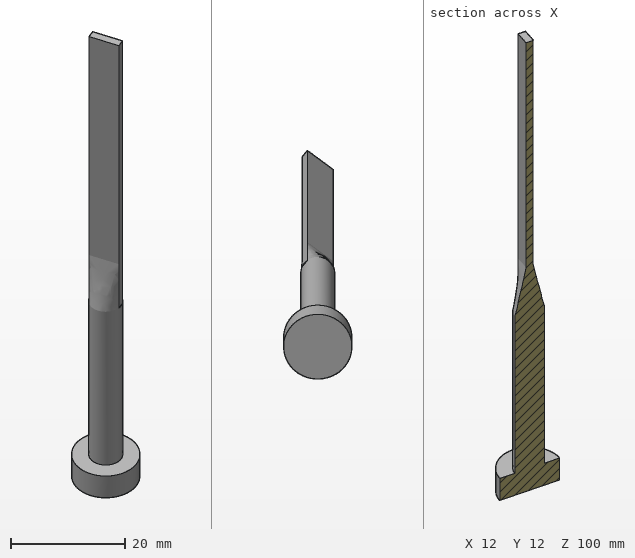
import cadquery as cq
import math

total_height = 100.0
head_height = 5.0
blade_length = 50.0
transition_length = 10.0

head_diameter = 12.0
shank_diameter = 6.0
blade_thickness = 1.5
blade_width = math.sqrt(shank_diameter**2 - blade_thickness**2)

blade_base = total_height - blade_length
shank_top = blade_base - transition_length

head = cq.Workplane("XY").circle(head_diameter / 2).extrude(head_height)
shank = (
    cq.Workplane("XY")
    .workplane(offset=head_height)
    .circle(shank_diameter / 2)
    .extrude(shank_top - head_height)
)

half_width = blade_width / 2
half_thickness = blade_thickness / 2
transition = (
    cq.Workplane("XY")
    .workplane(offset=shank_top)
    .moveTo(-half_width, -half_thickness)
    .threePointArc((0, -shank_diameter / 2), (half_width, -half_thickness))
    .lineTo(half_width, half_thickness)
    .threePointArc((0, shank_diameter / 2), (-half_width, half_thickness))
    .close()
    .workplane(offset=transition_length)
    .moveTo(0, 0)
    .rect(blade_width, blade_thickness)
    .loft(ruled=True)
)

blade = (
    cq.Workplane("XY")
    .workplane(offset=blade_base)
    .rect(blade_width, blade_thickness)
    .extrude(blade_length)
)

result = head.union(shank).union(transition).union(blade)